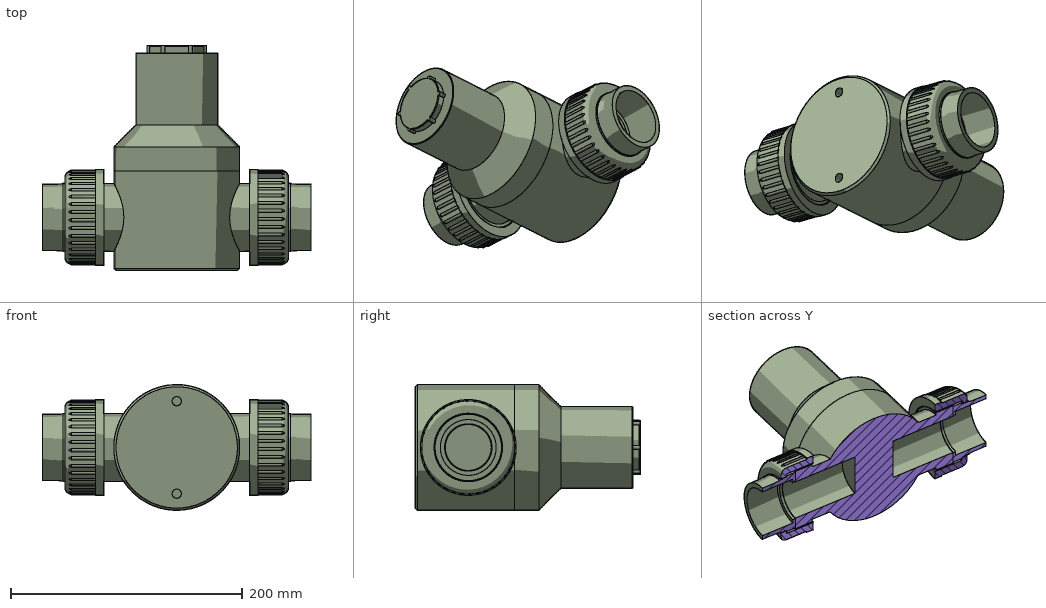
import cadquery as cq


BODY_DIA = 109.0
BODY_FRONT = -46.0
SPLIT_Y = 40.0
BODY_CHAMFER = 2.0
MOUNT_HOLE_DIA = 7.94
MOUNT_HOLE_OFFSET = 40.0
MOUNT_HOLE_DEPTH = 12.0
NECK_DIA = 59.0
THREAD_DIA = 64.4
THREAD_INSET = 1.0
PORT_BORE_DIA = 39.8
PORT_BORE_BOTTOM = 20.0
JOINT_X = 82.0

COVER_DIA = 71.0
CONE_START = 61.0
CONE_END = CONE_START + (BODY_DIA - COVER_DIA) / 2
COVER_END = 142.4
COVER_CHAMFER = 0.6

KNOB_END = 148.9
KNOB_DIA = 47.2
KNOB_CHAMFER_LENGTH = 1.0
KNOB_CHAMFER_DEPTH = 0.4
KNOB_RIB_COUNT = 6
KNOB_RIB_RADIUS = 1.75
KNOB_RIB_CIRCLE_RADIUS = 24.0

NUT_INNER_X = 63.1
NUT_OUTER_X = 96.8
NUT_COLLAR_DIA = 83.0
NUT_COLLAR_WIDTH = 7.0
NUT_DIA = 80.5
NUT_FILLET = 5.6
NUT_BORE_DIA = 65.71
NUT_LIP_DIA = 59.3
NUT_LIP_THICKNESS = 6.0
NUT_RIB_COUNT = 36
NUT_RIB_RADIUS = 1.55
NUT_RIB_HEIGHT = 0.8
NUT_RIB_TIP_LENGTH = 1.8
NUT_RIB_TIP_RADIUS = 0.6
NUT_RIB_PITCH = 360 / NUT_RIB_COUNT
LEFT_NUT_RIB_ANGLE = 6.6
RIGHT_NUT_RIB_ANGLE = 1.8

TAIL_END = 116.16
TAIL_PIPE_DIA = 57.5
TAIL_PIPE_LENGTH = 10.3
TAIL_DIA = 59.2
TAIL_TAPER_DIA = 58.4
TAIL_TAPER_LENGTH = 7.6
TAIL_FLANGE_DIA = 62.6
SOCKET_DIA = 48.3
SOCKET_DEPTH = 31.5
TAIL_BORE_DIA = 41.0

SIDES = (-1, 1)


def x_cylinder(diameter, start, end):
    """Cylinder on the X axis between two X positions."""
    return cq.Workplane("YZ").workplane(offset=start).circle(diameter / 2).extrude(end - start)


def y_cylinder(diameter, start, end):
    """Cylinder on the Y axis between two Y positions."""
    return cq.Workplane("XZ").workplane(offset=-start).circle(diameter / 2).extrude(start - end)


def on_side(shape, side):
    """Keep a +X shape, or turn it half round the Y axis for the -X side."""
    return shape if side > 0 else shape.rotate((0, 0, 0), (0, 1, 0), 180)


def make_housing():
    body = y_cylinder(BODY_DIA, BODY_FRONT, SPLIT_Y).faces("<Y").chamfer(BODY_CHAMFER)
    neck = x_cylinder(NECK_DIA, 0, JOINT_X)
    thread = x_cylinder(THREAD_DIA, NUT_INNER_X + THREAD_INSET, JOINT_X)
    port = x_cylinder(PORT_BORE_DIA, PORT_BORE_BOTTOM, JOINT_X)
    for side in SIDES:
        body = body.union(on_side(neck, side)).union(on_side(thread, side))
    for side in SIDES:
        mount_hole = y_cylinder(MOUNT_HOLE_DIA, BODY_FRONT, BODY_FRONT + MOUNT_HOLE_DEPTH)
        body = body.cut(on_side(port, side))
        body = body.cut(mount_hole.translate((0, 0, side * MOUNT_HOLE_OFFSET)))
    return body


def make_cover():
    profile = [
        (0, SPLIT_Y),
        (BODY_DIA / 2, SPLIT_Y),
        (BODY_DIA / 2, CONE_START),
        (COVER_DIA / 2, CONE_END),
        (COVER_DIA / 2, COVER_END - COVER_CHAMFER),
        (COVER_DIA / 2 - COVER_CHAMFER, COVER_END),
        (0, COVER_END),
    ]
    return cq.Workplane("XY").polyline(profile).close().revolve(360, (0, 0), (0, 1))


def make_knob():
    knob = y_cylinder(KNOB_DIA, COVER_END, KNOB_END)
    knob = knob.faces(">Y").chamfer(KNOB_CHAMFER_LENGTH, KNOB_CHAMFER_DEPTH)
    rib = y_cylinder(2 * KNOB_RIB_RADIUS, COVER_END, KNOB_END).translate((KNOB_RIB_CIRCLE_RADIUS, 0, 0))
    for index in range(KNOB_RIB_COUNT):
        knob = knob.union(rib.rotate((0, 0, 0), (0, 1, 0), index * 360 / KNOB_RIB_COUNT))
    return knob


def make_nut(first_rib_angle):
    collar_end = NUT_INNER_X + NUT_COLLAR_WIDTH
    fillet_start = NUT_OUTER_X - NUT_FILLET
    nut = x_cylinder(NUT_DIA, NUT_INNER_X, NUT_OUTER_X).faces(">X").edges().fillet(NUT_FILLET)
    nut = nut.union(x_cylinder(NUT_COLLAR_DIA, NUT_INNER_X, collar_end))

    rib_profile = [
        (collar_end, 0),
        (collar_end, NUT_RIB_RADIUS),
        (fillet_start, NUT_RIB_RADIUS),
        (fillet_start + NUT_RIB_TIP_LENGTH, NUT_RIB_TIP_RADIUS),
        (fillet_start + NUT_RIB_TIP_LENGTH, 0),
    ]
    rib = cq.Workplane("XY").polyline(rib_profile).close().revolve(360, (0, 0), (1, 0))
    rib = rib.translate((0, NUT_DIA / 2 + NUT_RIB_HEIGHT - NUT_RIB_RADIUS, 0))
    for index in range(NUT_RIB_COUNT):
        angle = first_rib_angle + index * NUT_RIB_PITCH
        nut = nut.union(rib.rotate((0, 0, 0), (1, 0, 0), angle))

    nut = nut.cut(x_cylinder(NUT_BORE_DIA, NUT_INNER_X, NUT_OUTER_X - NUT_LIP_THICKNESS))
    return nut.cut(x_cylinder(NUT_LIP_DIA, NUT_INNER_X, NUT_OUTER_X))


def make_tail():
    taper_start = TAIL_END - TAIL_PIPE_LENGTH
    taper_end = taper_start - TAIL_TAPER_LENGTH
    flange_end = NUT_OUTER_X - NUT_LIP_THICKNESS
    socket_bottom = TAIL_END - SOCKET_DEPTH
    profile = [
        (JOINT_X, TAIL_BORE_DIA / 2),
        (JOINT_X, TAIL_FLANGE_DIA / 2),
        (flange_end, TAIL_FLANGE_DIA / 2),
        (flange_end, TAIL_DIA / 2),
        (taper_end, TAIL_DIA / 2),
        (taper_end, TAIL_TAPER_DIA / 2),
        (taper_start, TAIL_PIPE_DIA / 2),
        (TAIL_END, TAIL_PIPE_DIA / 2),
        (TAIL_END, SOCKET_DIA / 2),
        (socket_bottom, SOCKET_DIA / 2),
        (socket_bottom, TAIL_BORE_DIA / 2),
    ]
    return cq.Workplane("XY").polyline(profile).close().revolve(360, (0, 0), (1, 0))


housing = make_housing()
cover = make_cover()
knob = make_knob()
tail = make_tail()

bodies = [housing.val(), cover.val(), knob.val()]
for side, rib_angle in ((-1, LEFT_NUT_RIB_ANGLE), (1, RIGHT_NUT_RIB_ANGLE)):
    bodies.append(on_side(make_nut(rib_angle), side).val())
    bodies.append(on_side(tail, side).val())

result = cq.Compound.makeCompound(bodies)